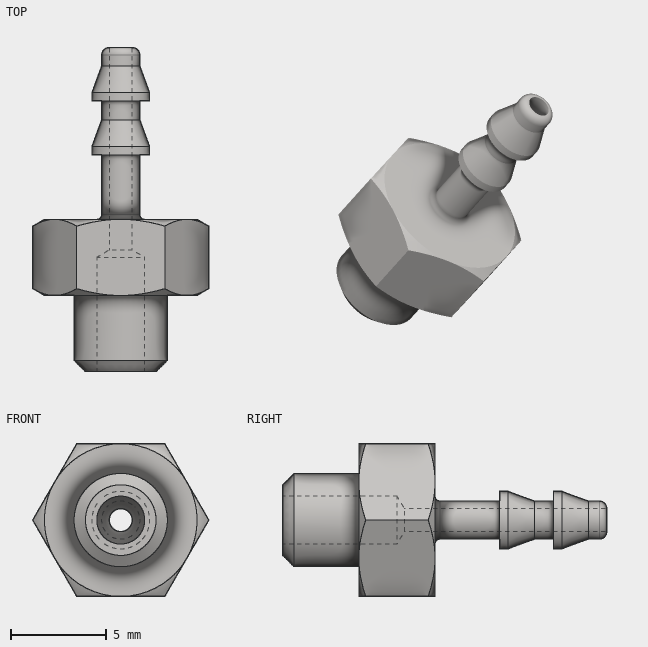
import cadquery as cq
import math

total_length = 17.0
thread_length = 4.0
hex_length = 4.0
hex_flats = 8.0
thread_radius = 2.45
thread_chamfer = 0.6
chamfer_angle = 30.0

stem_radius = 1.0
barb_radius = 1.51
barb_land = 0.45
barb_cone = 1.4
barb_pitch = 2.82
barb_count = 2
first_barb = 11.37
root_fillet = 0.25
tip_round = 0.39

wide_bore_radius = 1.25
narrow_bore_radius = 0.6
wide_bore_depth = thread_length + hex_length / 2
drill_tip_angle = 118.0

hex_start = thread_length
hex_end = hex_start + hex_length
corner_radius = hex_flats / math.sqrt(3)


def revolve_profile(profile):
    """Close an (X radius, Y position) outline and revolve it about Y."""
    return profile.close().revolve(360, (0, 0, 0), (0, 1, 0))


def make_hexagon():
    prism = (
        cq.Workplane("XZ", origin=(0, hex_start, 0))
        .polygon(6, 2 * corner_radius)
        .extrude(-hex_length)
    )
    face_radius = hex_flats / 2
    chamfer_depth = (corner_radius - face_radius) * math.tan(math.radians(chamfer_angle))
    envelope = revolve_profile(
        cq.Workplane("XY")
        .moveTo(0, hex_start)
        .lineTo(face_radius, hex_start)
        .lineTo(corner_radius, hex_start + chamfer_depth)
        .lineTo(corner_radius, hex_end - chamfer_depth)
        .lineTo(face_radius, hex_end)
        .lineTo(0, hex_end)
    )
    return prism.intersect(envelope)


def make_thread_spigot():
    spigot = cq.Workplane("XZ").circle(thread_radius).extrude(-(thread_length + hex_length / 2))
    return spigot.faces("<Y").chamfer(thread_chamfer)


def make_barbed_stem():
    stem_start = hex_end - hex_length / 2
    flare_radius = stem_radius + root_fillet
    arc_inset = root_fillet * (1 - math.sqrt(0.5))
    profile = (
        cq.Workplane("XY")
        .moveTo(0, stem_start)
        .lineTo(flare_radius, stem_start)
        .lineTo(flare_radius, hex_end)
        .threePointArc(
            (stem_radius + arc_inset, hex_end + arc_inset),
            (stem_radius, hex_end + root_fillet),
        )
    )
    for index in range(barb_count):
        barb_start = first_barb + index * barb_pitch
        land_end = barb_start + barb_land
        profile = (
            profile.lineTo(stem_radius, barb_start)
            .lineTo(barb_radius, barb_start)
            .lineTo(barb_radius, land_end)
            .lineTo(stem_radius, land_end + barb_cone)
        )
    profile = profile.lineTo(stem_radius, total_length).lineTo(0, total_length)
    return revolve_profile(profile).faces(">Y").edges().fillet(tip_round)


def make_bore():
    cone_depth = (wide_bore_radius - narrow_bore_radius) / math.tan(math.radians(drill_tip_angle / 2))
    return revolve_profile(
        cq.Workplane("XY")
        .lineTo(wide_bore_radius, 0)
        .lineTo(wide_bore_radius, wide_bore_depth)
        .lineTo(narrow_bore_radius, wide_bore_depth + cone_depth)
        .lineTo(narrow_bore_radius, total_length)
        .lineTo(0, total_length)
    )


body = make_hexagon().union(make_thread_spigot()).union(make_barbed_stem()).cut(make_bore())
result = body.translate((0, -total_length / 2, 0))